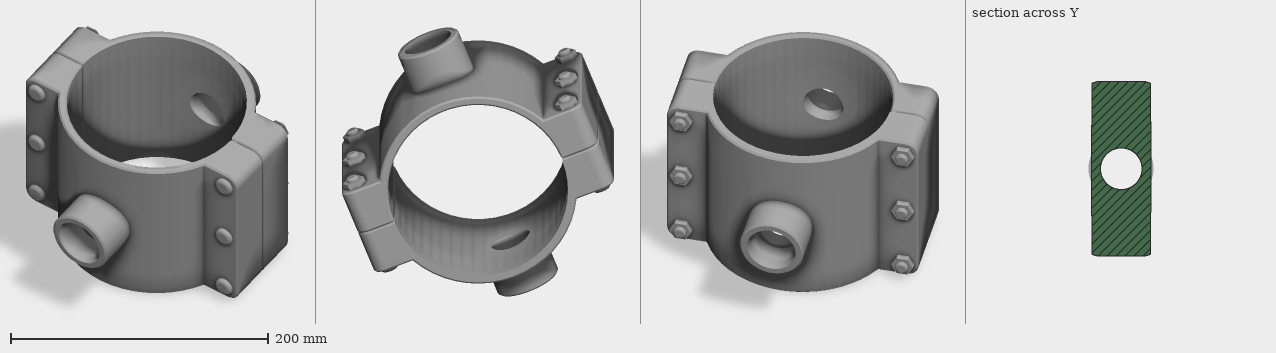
import cadquery as cq
import math

overall_length = 212.0
clamp_width = 201.0
clamp_height = 136.0
edge_chamfer = 1.38

bore_radius = 70.0
ring_radius = 77.0

flange_thickness = 35.0
flange_corner_radius = 10.2

outlet_diameter = 50.7
port_diameter = 32.0
socket_diameter = 39.0
socket_depth = 25.0

bolt_x = 88.6
bolt_pitch = 56.0
head_diameter = 15.0
head_height = 3.8
head_fillet = 3.0
nut_across_flats = 15.0
nut_height = 4.9
shank_diameter = 10.0
shank_end_length = 3.2
shank_end_chamfer = 1.3

outlet_end = overall_length / 2
bolt_places = [(x, z) for x in (-bolt_x, bolt_x) for z in (-bolt_pitch, 0, bolt_pitch)]


def rod(diameter, near_y, far_y):
    """A round rod on the Y axis, from near_y to far_y in the -Y direction."""
    return cq.Workplane("XZ", origin=(0, near_y, 0)).circle(diameter / 2).extrude(near_y - far_y)


def flange_plate():
    """Plate for both flanges, chamfered around its outer face; it lies on the -Y side of the split."""
    plate = cq.Workplane("XZ").rect(clamp_width, clamp_height).extrude(flange_thickness)
    plate = plate.edges("|Y").fillet(flange_corner_radius)
    return plate.faces("<Y").chamfer(edge_chamfer)


def half_ring():
    """The -Y half of the clamp ring, still without its bore."""
    ring = cq.Workplane("XY").cylinder(clamp_height, ring_radius).faces("|Z").chamfer(edge_chamfer)
    other_side = cq.Workplane("XZ").rect(clamp_width, clamp_height).extrude(-ring_radius)
    return ring.cut(other_side)


def outlet():
    """The outlet stub, rooted in the ring wall."""
    root_y = -(bore_radius + ring_radius) / 2
    return rod(outlet_diameter, root_y, -outlet_end).faces("<Y").chamfer(edge_chamfer)


def clamp_half():
    """The clamp half on the -Y side; its bore is chamfered at the +Z end only."""
    half = flange_plate().union(half_ring())
    half = half.cut(cq.Workplane("XY").cylinder(clamp_height, bore_radius))
    split_edges = half.faces(">Y").edges()
    bore_rim = half.faces(">Z").edges(cq.selectors.RadiusNthSelector(0))
    half = split_edges.add(bore_rim).chamfer(edge_chamfer)

    half = half.union(outlet())
    half = half.cut(rod(port_diameter, 0, -outlet_end))
    return half.cut(rod(socket_diameter, socket_depth - outlet_end, -outlet_end))


def bolt_head():
    """A rounded bolt head on the outer flange face of the -Y half."""
    head = rod(head_diameter, -flange_thickness, -flange_thickness - head_height)
    return head.faces("<Y").edges().fillet(head_fillet)


def nut_and_shank_end():
    """A hexagon nut on the outer flange face of the +Y half, with the bolt's end standing out of it."""
    across_corners = nut_across_flats / math.cos(math.pi / 6)
    nut_face_y = flange_thickness + nut_height
    nut = cq.Workplane("XZ", origin=(0, nut_face_y, 0)).polygon(6, across_corners).extrude(nut_height)
    shank_end = rod(shank_diameter, nut_face_y + shank_end_length, nut_face_y)
    return nut.union(shank_end.faces(">Y").chamfer(shank_end_chamfer))


front_half = clamp_half()
rear_half = front_half.rotate((0, 0, 0), (1, 0, 0), 180)

for x, z in bolt_places:
    front_half = front_half.union(bolt_head().translate((x, 0, z)))
    rear_half = rear_half.union(nut_and_shank_end().translate((x, 0, z)))

result = cq.Compound.makeCompound([*front_half.solids().vals(), *rear_half.solids().vals()])